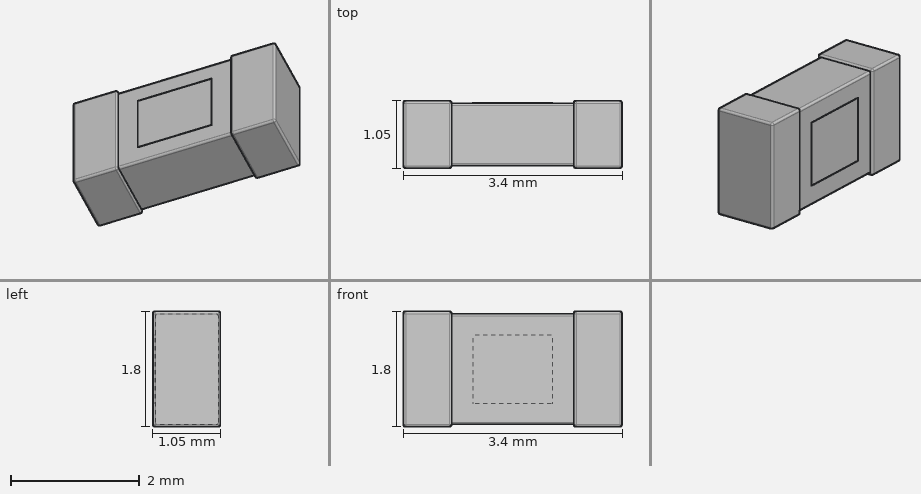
import cadquery as cq

LENGTH = 3.4
DEPTH = 1.05
HEIGHT = 1.8

TERMINAL_LENGTH = 0.75
EDGE_RADIUS = 0.037
STEP = EDGE_RADIUS

BODY_LENGTH = LENGTH - 2 * TERMINAL_LENGTH
BODY_DEPTH = DEPTH - 2 * STEP
BODY_HEIGHT = HEIGHT - 2 * STEP

MARK_LENGTH = 1.238
MARK_MARGIN = (BODY_LENGTH - MARK_LENGTH) / 2
MARK_HEIGHT = BODY_HEIGHT - 2 * MARK_MARGIN
MARK_THICKNESS = 0.007


def make_body():
    """Bar between the terminals, with its four long edges rounded."""
    return cq.Workplane("XY").box(BODY_LENGTH, BODY_DEPTH, BODY_HEIGHT).edges("|X").fillet(EDGE_RADIUS)


def make_terminal(side):
    """End block with every edge rounded; side is -1 for the -X end and +1 for the +X end."""
    center_x = side * (LENGTH - TERMINAL_LENGTH) / 2
    block = cq.Workplane("XY").box(TERMINAL_LENGTH, DEPTH, HEIGHT).edges().fillet(EDGE_RADIUS)
    return block.translate((center_x, 0, 0))


def make_mark():
    """Thin plate lying on the middle of the body's +Y face."""
    center_y = (BODY_DEPTH + MARK_THICKNESS) / 2
    plate = cq.Workplane("XY").box(MARK_LENGTH, MARK_THICKNESS, MARK_HEIGHT)
    return plate.translate((0, center_y, 0))


body = make_body()
terminals = [make_terminal(side) for side in (-1, 1)]
mark = make_mark()

result = cq.Compound.makeCompound([
    body.val(),
    *[terminal.val() for terminal in terminals],
    mark.val(),
])